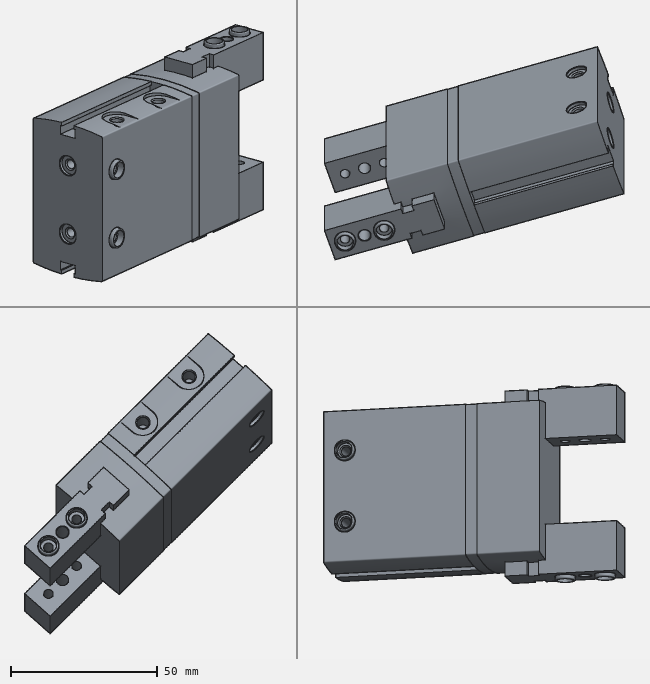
import cadquery as cq


total_length = 101.0
total_width = 31.3
total_height = 67.6

sleeve_diameter = 7.0
sleeve_bore = 5.7
sleeve_protrusion = 1.3
sleeve_seat_depth = 1.3
sleeve_fillet = 0.4
mouth_chamfer = 0.2

housing_length = 76.0
housing_width = total_width - sleeve_protrusion
crown_height = 55.7
corner_height = 53.0
corner_fillet = 0.5
rear_section_length = 50.0
groove_width = 3.9
groove_depth = 0.1

screw_hole = 3.2
screw_hole_chamfer = 0.45
screw_spacing = 25.0
side_screw_y = 7.5

slot_mouth_width = 5.3
slot_width = 6.5
slot_depth = 4.5
slot_lip = 1.4

port_x = 8.9
port_ys = (16.0, 39.0)
port_flat_radius = 5.0
port_flat_z = 26.7
port_diameter = 4.1
port_chamfer = 0.4
port_depth = 8.1

jaw_length = 39.4
jaw_width = 12.0
jaw_outer_z = total_height / 2 - sleeve_protrusion
jaw_inner_z = 15.0
jaw_notch_depth = 1.9
jaw_notch_length = 3.9
jaw_heel_length = 7.9
jaw_dowel_hole = 4.1
jaw_dowel_offset = 12.5
jaw_sleeve_spacing = 14.0

jaw_heel_y = total_length - jaw_length
jaw_dowel_y = total_length - jaw_dowel_offset
jaw_sleeve_ys = (jaw_dowel_y - jaw_sleeve_spacing / 2, jaw_dowel_y + jaw_sleeve_spacing / 2)
screw_zs = (-screw_spacing / 2, screw_spacing / 2)
upper_side, lower_side = 1, -1


def crowned_block(y_start, length, inset):
    """Block along Y with flat sides, arched top and bottom and rounded corners."""
    half_width = housing_width / 2 - inset
    half_corner = corner_height / 2 - inset
    half_crown = crown_height / 2 - inset
    return (
        cq.Workplane("XZ", origin=(0, y_start, 0))
        .moveTo(-half_width, -half_corner)
        .threePointArc((0, -half_crown), (half_width, -half_corner))
        .lineTo(half_width, half_corner)
        .threePointArc((0, half_crown), (-half_width, half_corner))
        .close()
        .extrude(-length)
        .edges("|Y")
        .fillet(corner_fillet)
    )


def cylinder(point, direction, diameter, length):
    """Cylinder that starts at a point and runs along a direction."""
    solid = cq.Solid.makeCylinder(diameter / 2, length, cq.Vector(*point), cq.Vector(*direction))
    return cq.Workplane(solid)


def chamfered_hole(point, direction, diameter, length, chamfer):
    """Cutter for a hole whose mouth, at the given point, is chamfered at 45 degrees."""
    mouth = cq.Solid.makeCone(
        diameter / 2 + chamfer, diameter / 2, chamfer, cq.Vector(*point), cq.Vector(*direction)
    )
    return cylinder(point, direction, diameter, length).union(cq.Workplane(mouth))


def sleeve_seat(point, inward):
    """Cutter for the shallow recess that takes the inner end of a sleeve."""
    return chamfered_hole(point, inward, sleeve_diameter, sleeve_seat_depth, mouth_chamfer)


def jaw_block(side):
    """Jaw without holes: a bar with a notch in each side, between its inner and outer face."""
    height = jaw_outer_z - jaw_inner_z
    middle_z = side * (jaw_outer_z + jaw_inner_z) / 2
    notch_y = jaw_heel_y + jaw_heel_length + jaw_notch_length / 2
    block = cq.Workplane("XY").box(jaw_width, jaw_length, height)
    block = block.translate((0, jaw_heel_y + jaw_length / 2, middle_z))
    for x in (-jaw_width / 2, jaw_width / 2):
        notch = cq.Workplane("XY").box(2 * jaw_notch_depth, jaw_notch_length, height)
        block = block.cut(notch.translate((x, notch_y, middle_z)))
    return block


def make_jaw(side):
    """Jaw with two seated sleeves over screw holes and a dowel hole between them."""
    jaw = jaw_block(side)
    height = jaw_outer_z - jaw_inner_z
    inward = (0, 0, -side)
    for y in jaw_sleeve_ys:
        face_point = (0, y, side * jaw_outer_z)
        jaw = jaw.cut(sleeve_seat(face_point, inward))
        jaw = jaw.cut(cylinder(face_point, inward, screw_hole, height))
    dowel_point = (0, jaw_dowel_y, side * jaw_outer_z)
    return jaw.cut(chamfered_hole(dowel_point, inward, jaw_dowel_hole, height, mouth_chamfer))


def sensor_slot(side):
    """T-shaped cutter along the rear section, open at the rear and to one crowned face."""
    floor_z = crown_height / 2 - slot_depth
    lip_z = crown_height / 2 - slot_lip
    channel = cq.Workplane("XY").box(
        slot_width, rear_section_length, lip_z - floor_z, centered=(True, False, False)
    )
    mouth = cq.Workplane("XY").box(
        slot_mouth_width, rear_section_length, slot_depth, centered=(True, False, False)
    )
    slot = channel.union(mouth).translate((0, 0, floor_z))
    return slot if side == upper_side else slot.mirror("XY")


def port_flat(y):
    """Cutter for the flat around an air port: round end inwards, open towards +X."""
    reach = housing_width / 2 - port_x
    clearance = crown_height / 2 - port_flat_z
    return (
        cq.Workplane("XY", origin=(port_x, y, port_flat_z))
        .moveTo(reach, -port_flat_radius)
        .lineTo(0, -port_flat_radius)
        .threePointArc((-port_flat_radius, 0), (0, port_flat_radius))
        .lineTo(reach, port_flat_radius)
        .close()
        .extrude(clearance)
    )


def make_housing():
    """Housing: two crowned sections joined by a recessed band, with all its openings."""
    front_start = rear_section_length + groove_width
    housing = crowned_block(0, rear_section_length, 0)
    housing = housing.union(crowned_block(rear_section_length, groove_width, groove_depth))
    housing = housing.union(crowned_block(front_start, housing_length - front_start, 0))

    for side in (upper_side, lower_side):
        housing = housing.cut(jaw_block(side))
        housing = housing.cut(sensor_slot(side))

    for z in screw_zs:
        left_point = (-housing_width / 2, side_screw_y, z)
        right_point = (housing_width / 2, side_screw_y, z)
        rear_point = (0, 0, z)
        for point, inward, depth in (
            (left_point, (1, 0, 0), housing_width),
            (right_point, (-1, 0, 0), housing_width),
            (rear_point, (0, 1, 0), side_screw_y),
        ):
            seat = sleeve_seat(point, inward)
            seat_floor = tuple(p + d * sleeve_seat_depth for p, d in zip(point, inward))
            hole = chamfered_hole(
                seat_floor, inward, screw_hole, depth - sleeve_seat_depth, screw_hole_chamfer
            )
            housing = housing.cut(seat).cut(hole)

    for y in port_ys:
        port_mouth = (port_x, y, port_flat_z)
        port = chamfered_hole(port_mouth, (0, 0, -1), port_diameter, port_depth, port_chamfer)
        housing = housing.cut(port_flat(y)).cut(port)
    return housing


def make_sleeve(face_point, outward):
    """Sleeve seated in the recess at face_point and standing out along the outward direction."""
    length = sleeve_seat_depth + sleeve_protrusion
    base = tuple(p - d * sleeve_seat_depth for p, d in zip(face_point, outward))
    plane = cq.Plane(origin=base, normal=outward)
    ring = cq.Workplane(plane).circle(sleeve_diameter / 2).circle(sleeve_bore / 2).extrude(length)
    outer_end = cq.selectors.DirectionMinMaxSelector(cq.Vector(*outward), True)
    outer_rim = cq.selectors.RadiusNthSelector(1)
    return ring.faces(outer_end).edges(outer_rim).fillet(sleeve_fillet)


housing = make_housing()
jaws = [make_jaw(side) for side in (upper_side, lower_side)]

sleeves = [make_sleeve((housing_width / 2, side_screw_y, z), (1, 0, 0)) for z in screw_zs]
for side in (upper_side, lower_side):
    for y in jaw_sleeve_ys:
        sleeves.append(make_sleeve((0, y, side * jaw_outer_z), (0, 0, side)))

result = cq.Compound.makeCompound(
    [housing.val()] + [jaw.val() for jaw in jaws] + [sleeve.val() for sleeve in sleeves]
)